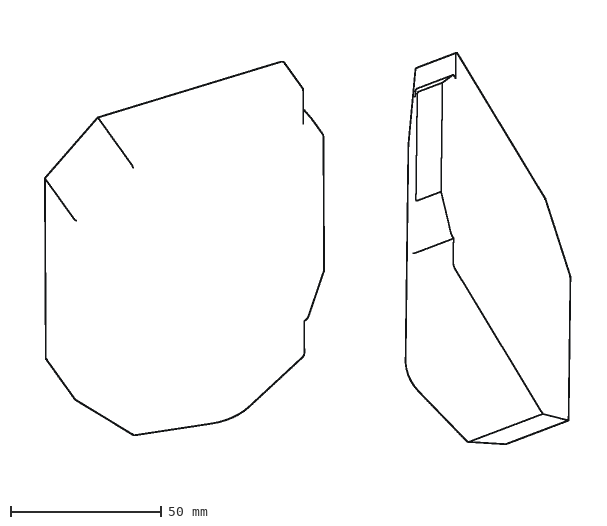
import cadquery as cq
import math

overall_height = 118.3
length = 98.0
thickness = 34.0
tilt = 0.5

corner_chamfer = 19.5
tab_depth = 9.8
tab_root_half_height = 44.0
tab_tip_half_height = 29.9
tab_slope = 30.0
corner_radius = 1.5

edge_thickness = 23.9
long_slope = 12.0
short_slope = 30.0
crest_radius = 21.3
rim_radius = 1.0

tilt_angle = math.radians(tilt)
tilt_rise = (thickness - rim_radius) * math.sin(tilt_angle)
half_height = (overall_height - tilt_rise) / math.cos(tilt_angle) / 2
shoulder_y = length - tab_depth
tab_flank_run = (tab_root_half_height - tab_tip_half_height) * math.tan(math.radians(tab_slope))


def make_plate():
    """Extrude the octagon-like outline with its stepped tab along X."""
    lower_half = [
        (length, -tab_tip_half_height),
        (length - tab_flank_run, -tab_root_half_height),
        (shoulder_y, -tab_root_half_height),
        (shoulder_y, -half_height),
        (corner_chamfer, -half_height),
        (0, corner_chamfer - half_height),
    ]
    upper_half = [(y, -z) for y, z in reversed(lower_half)]
    plate = cq.Workplane("YZ").polyline(lower_half + upper_half).close().extrude(thickness)
    rounded_corners = [
        (y, side * z)
        for y, z in [(shoulder_y, half_height), (length - tab_flank_run, tab_root_half_height)]
        for side in (-1, 1)
    ]
    for y, z in rounded_corners:
        corner = cq.NearestToPointSelector((thickness / 2, y, z))
        plate = plate.edges("|X").edges(corner).fillet(corner_radius)
    return plate


def make_roof():
    """Extrude the two-slope thickness profile along Z, with a rounded crest."""
    long_angle = math.radians(long_slope)
    short_angle = math.radians(short_slope)
    center_x = thickness - crest_radius
    long_end_x = center_x + crest_radius * math.cos(long_angle)
    long_end_y = (long_end_x - edge_thickness) / math.tan(long_angle)
    center_y = long_end_y + crest_radius * math.sin(long_angle)
    short_end_x = center_x + crest_radius * math.cos(short_angle)
    short_end_y = center_y + crest_radius * math.sin(short_angle)
    tip_thickness = short_end_x - (length - short_end_y) * math.tan(short_angle)
    return (
        cq.Workplane("XY")
        .moveTo(0, 0)
        .lineTo(edge_thickness, 0)
        .lineTo(long_end_x, long_end_y)
        .threePointArc((thickness, center_y), (short_end_x, short_end_y))
        .lineTo(tip_thickness, length)
        .lineTo(0, length)
        .close()
        .extrude(half_height, both=True)
    )


def round_rim(body):
    """Round the rim where the side walls meet the sloping faces and the crest."""
    walls = body.faces("#X").faces("not <X")
    wall_edges = walls.edges("not |X")
    rim = [edge for edge in wall_edges.vals() if edge.Center().x > rim_radius]
    return body.newObject(rim).fillet(rim_radius)


body = round_rim(make_plate().intersect(make_roof()))
result = body.rotate((0, 0, 0), (0, 1, 0), -tilt)